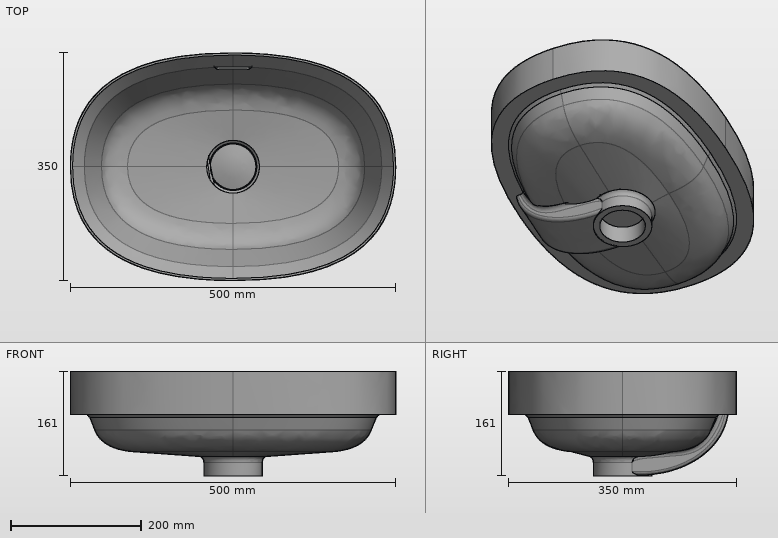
import cadquery as cq
import math

LENGTH = 500.0
WIDTH = 350.0
HEIGHT = 161.0

OVAL_ARM_X = 0.65
OVAL_ARM_Y = 0.69
CIRCLE_ARM = 4 / 3 * (math.sqrt(2) - 1)

RIM_DEPTH = 66.5
LIP_WIDTH = 3.5

INNER_STEP = (21.5, 23.0)
INNER_WALL_FOOT = (48.0, 82.5)
INNER_BEND = (58.0, 106.5)
INNER_FLOOR_EDGE = (88.0, 110.0)
OUTER_NECK = (25.5, RIM_DEPTH)
OUTER_SHOULDER = (30.0, 71.0)
OUTER_WALL_FOOT = (37.5, 90.0)
OUTER_BEND = (49.0, 119.5)
OUTER_FLOOR_EDGE = (96.5, 123.5)
BEND_SECTIONS = 6

DRAIN_DEPTH = 118.0
MOUTH_RADIUS = 40.5
SEAT_RADIUS = 36.5
SEAT_DEPTH = 121.5
BORE_RADIUS = 35.0
TUBE_RADIUS = 45.0
FLARE_RADIUS = 50.0
FLARE_DEPTH = 131.0
FLARE_HEIGHT = 9.0
FLARE_TOP_SLOPE = 0.6

PLUG_EDGE_DEPTH = 119.0
PLUG_THICKNESS = 10.0
DOME_RISE = 5.5

DUCT_WIDTH = 85.0
DUCT_BACK = [(162.0, RIM_DEPTH), (137.5, 116.0), (94.0, 146.0), (14.5, 158.5)]
DUCT_CORE = [(14.5, 125.0), (100.0, 110.0), (140.0, RIM_DEPTH)]
DUCT_EDGE_RADIUS = 5.0
DUCT_FOOT_RADIUS = 7.0
FOOT_SINK = 2.5
FOOT_RIM_OVERLAP = 5.0
DUCT_SIDE_SAG = 1.5

SLOT_TOP_WIDTH = 58.0
SLOT_BOTTOM_WIDTH = 49.0
SLOT_HEIGHT = 7.5
SLOT_DEPTH = 10.0


def level(depth):
    """Z of a point that lies the given depth below the rim top."""
    return HEIGHT - depth


def closed_curve(half_x, half_y, arm_x, arm_y, depth):
    """Closed horizontal curve of four cubic Bezier quadrants."""
    z = level(depth)
    edges = []
    for sx, sy in ((1, 1), (-1, 1), (-1, -1), (1, -1)):
        on_x = cq.Vector(sx * half_x, 0, z)
        near_x = cq.Vector(sx * half_x, sy * arm_y * half_y, z)
        near_y = cq.Vector(sx * arm_x * half_x, sy * half_y, z)
        on_y = cq.Vector(0, sy * half_y, z)
        quadrant = [on_x, near_x, near_y, on_y]
        if sx * sy < 0:
            quadrant.reverse()
        edges.append(cq.Edge.makeBezier(quadrant))
    return cq.Wire.assembleEdges(edges)


def oval(inset, depth):
    return closed_curve(LENGTH / 2 - inset, WIDTH / 2 - inset, OVAL_ARM_X, OVAL_ARM_Y, depth)


def circle(radius, depth):
    return closed_curve(radius, radius, CIRCLE_ARM, CIRCLE_ARM, depth)


def bend_point(start, corner, end, t):
    """Inset and depth at parameter t of the quadratic Bezier bend from start to end."""
    weights = ((1 - t) ** 2, 2 * t * (1 - t), t ** 2)
    points = (start, corner, end)
    return tuple(sum(w * p[k] for w, p in zip(weights, points)) for k in (0, 1))


def bend_ovals(start, corner, end):
    """Ovals along the bend between the wall and the floor."""
    last = BEND_SECTIONS - 1
    return [oval(*bend_point(start, corner, end, i / last)) for i in range(BEND_SECTIONS)]


def straight_loft(first, second):
    return cq.Workplane(cq.Solid.makeLoft([first, second], True))


def smooth_loft(sections):
    return cq.Workplane(cq.Solid.makeLoft(sections, False))


def make_rim():
    outline = cq.Face.makeFromWires(oval(0, RIM_DEPTH))
    return cq.Workplane(cq.Solid.extrudeLinear(outline, cq.Vector(0, 0, RIM_DEPTH)))


def make_bowl_outside():
    return (
        straight_loft(oval(*OUTER_NECK), oval(*OUTER_SHOULDER))
        .union(straight_loft(oval(*OUTER_SHOULDER), oval(*OUTER_WALL_FOOT)))
        .union(smooth_loft(bend_ovals(OUTER_WALL_FOOT, OUTER_BEND, OUTER_FLOOR_EDGE)))
        .union(straight_loft(oval(*OUTER_FLOOR_EDGE), circle(FLARE_RADIUS, FLARE_DEPTH)))
    )


def make_bowl_cavity():
    return (
        straight_loft(oval(LIP_WIDTH, 0), oval(*INNER_STEP))
        .union(straight_loft(oval(*INNER_STEP), oval(*INNER_WALL_FOOT)))
        .union(smooth_loft(bend_ovals(INNER_WALL_FOOT, INNER_BEND, INNER_FLOOR_EDGE)))
        .union(straight_loft(oval(*INNER_FLOOR_EDGE), circle(MOUTH_RADIUS, DRAIN_DEPTH)))
    )


def make_outlet_tube():
    """Tube below the bowl with a concave flare at its top."""
    flare_top = level(FLARE_DEPTH)
    flare_bottom = flare_top - FLARE_HEIGHT
    return (
        cq.Workplane("XZ")
        .moveTo(0, 0)
        .lineTo(TUBE_RADIUS, 0)
        .lineTo(TUBE_RADIUS, flare_bottom)
        .spline([(FLARE_RADIUS, flare_top)], tangents=[(0, 1), (1, FLARE_TOP_SLOPE)], includeCurrent=True)
        .lineTo(0, flare_top)
        .close()
        .revolve(360, (0, 0, 0), (0, 1, 0))
    )


def make_drain_bore():
    return (
        cq.Workplane("XZ")
        .moveTo(0, 0)
        .lineTo(BORE_RADIUS, 0)
        .lineTo(BORE_RADIUS, level(SEAT_DEPTH))
        .lineTo(SEAT_RADIUS, level(SEAT_DEPTH))
        .lineTo(MOUTH_RADIUS, level(DRAIN_DEPTH))
        .lineTo(0, level(DRAIN_DEPTH))
        .close()
        .revolve(360, (0, 0, 0), (0, 1, 0))
    )


def make_overflow_duct():
    back = [(y, level(depth)) for y, depth in DUCT_BACK]
    core = [(y, level(depth)) for y, depth in DUCT_CORE]
    sketch = cq.Workplane("YZ", origin=(-DUCT_WIDTH / 2, 0, 0))
    sketch = sketch.moveTo(*back[0]).spline(back[1:], includeCurrent=True)
    for point in core:
        sketch = sketch.lineTo(*point)
    duct = sketch.close().extrude(DUCT_WIDTH)
    back_face = cq.selectors.NearestToPointSelector((0, *back[2]))
    return duct.faces(back_face).edges("%BSPLINE").fillet(DUCT_EDGE_RADIUS)


def make_duct_foot(side):
    """Concave blend between the bowl and one side (-1 or +1) of the duct."""
    side_x = side * DUCT_WIDTH / 2
    neck_inset, neck_depth = OUTER_NECK
    bend_middle = bend_point(OUTER_WALL_FOOT, OUTER_BEND, OUTER_FLOOR_EDGE, t=0.5)
    levels = [
        OUTER_FLOOR_EDGE,
        bend_middle,
        OUTER_WALL_FOOT,
        (neck_inset, neck_depth - FOOT_RIM_OVERLAP),
    ]
    start = cq.Vector(side_x, DUCT_BACK[-1][0], level(FLARE_DEPTH))
    path_points = [start]
    for inset, depth in levels:
        path_points.append(cq.Vector(side_x, WIDTH / 2 - inset - DUCT_SIDE_SAG, level(depth)))
    path = cq.Workplane(cq.Edge.makeSpline(path_points))
    radius = DUCT_FOOT_RADIUS
    corner = radius * (1 - math.sqrt(0.5))
    section_plane = cq.Plane(origin=start, xDir=(1, 0, 0), normal=path.val().tangentAt(0))
    return (
        cq.Workplane(section_plane)
        .moveTo(-side * radius, -FOOT_SINK)
        .lineTo(side * radius, -FOOT_SINK)
        .lineTo(side * radius, 0)
        .threePointArc((side * corner, corner), (0, radius))
        .lineTo(-side * radius, radius)
        .close()
        .sweep(path)
    )


def make_overflow_slot():
    step_inset, step_depth = INNER_STEP
    wall_y = WIDTH / 2 - step_inset
    top = level(step_depth)
    bottom = top - SLOT_HEIGHT
    return (
        cq.Workplane("XZ", origin=(0, wall_y + SLOT_DEPTH, 0))
        .polyline([
            (-SLOT_TOP_WIDTH / 2, top),
            (SLOT_TOP_WIDTH / 2, top),
            (SLOT_BOTTOM_WIDTH / 2, bottom),
            (-SLOT_BOTTOM_WIDTH / 2, bottom),
        ])
        .close()
        .extrude(2 * SLOT_DEPTH)
    )


def make_basin():
    return (
        make_rim()
        .union(make_bowl_outside())
        .union(make_outlet_tube())
        .union(make_overflow_duct())
        .union(make_duct_foot(-1))
        .union(make_duct_foot(1))
        .cut(make_bowl_cavity())
        .cut(make_drain_bore())
        .cut(make_overflow_slot())
    )


def make_plug():
    edge = level(PLUG_EDGE_DEPTH)
    underside = edge - PLUG_THICKNESS
    dome_radius = (BORE_RADIUS ** 2 + DOME_RISE ** 2) / (2 * DOME_RISE)
    disc = cq.Workplane("XY", origin=(0, 0, underside)).circle(BORE_RADIUS)
    disc = disc.extrude(PLUG_THICKNESS + DOME_RISE)
    ball = cq.Workplane("XY", origin=(0, 0, edge + DOME_RISE - dome_radius)).sphere(dome_radius)
    return disc.intersect(ball)


basin = make_basin()
plug = make_plug()

result = cq.Compound.makeCompound([basin.val(), plug.val()])